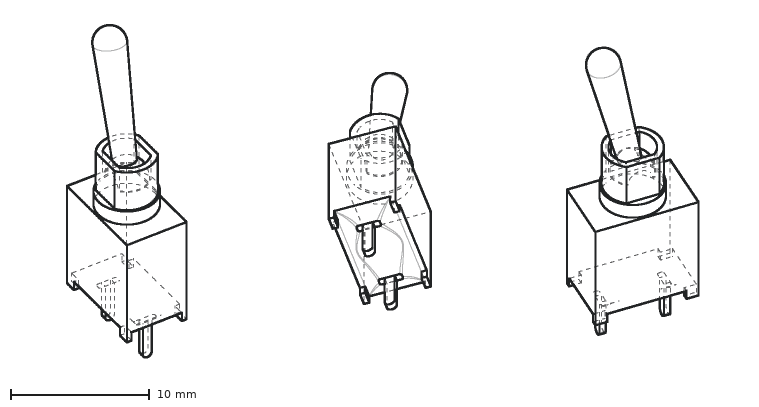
import cadquery as cq
import math


HOUSING_LENGTH = 8.13
HOUSING_WIDTH = 5.08
HOUSING_HEIGHT = 8.92
STANDOFF_HEIGHT = 0.75
FOOT_LENGTH = 0.95
FOOT_WIDTH = 0.41

OVERALL_HEIGHT = 26.73
TERMINAL_PITCH = 5.08
TERMINAL_THICKNESS = 0.5
TERMINAL_WIDTH = 0.76
TERMINAL_LENGTH = 3.27

MOUND_LAND_WIDTH = 1.77
MOUND_CENTRE_THICKNESS = 0.07
MOUND_HIP_RADIUS = 0.2

COLLAR_DIAMETER = 4.8
COLLAR_HEIGHT = 1.2
BUSHING_DIAMETER = 4.5
BUSHING_HEIGHT = 3.46
BUSHING_ACROSS_FLATS = 3.69
BORE_DIAMETER = 3.5
BORE_ACROSS_FLATS = 2.68

LEVER_TILT = 12.0
TIP_OFFSET = 2.3
TIP_RADIUS = 1.27
LEVER_ROOT_RADIUS = 0.84
PIVOT_BALL_RADIUS = 1.65

COLLAR_TOP = HOUSING_HEIGHT + COLLAR_HEIGHT
BUSHING_TOP = COLLAR_TOP + BUSHING_HEIGHT
TIP_CENTRE_Z = OVERALL_HEIGHT - TERMINAL_LENGTH - TIP_RADIUS
LEVER_LENGTH = TIP_OFFSET / math.sin(math.radians(LEVER_TILT))
PIVOT_Z = TIP_CENTRE_Z - LEVER_LENGTH * math.cos(math.radians(LEVER_TILT))
RECESS_LENGTH = HOUSING_LENGTH - 2 * FOOT_LENGTH
RECESS_WIDTH = HOUSING_WIDTH - 2 * FOOT_WIDTH


def block(length, width, bottom, top):
    """Box centred on the Z axis between two heights."""
    return cq.Workplane("XY").workplane(offset=bottom).rect(length, width).extrude(top - bottom)


def flatted_cylinder(diameter, across_flats, bottom, top):
    """Vertical cylinder with two flats facing -Y and +Y."""
    cylinder = cq.Workplane("XY").workplane(offset=bottom).circle(diameter / 2).extrude(top - bottom)
    return cylinder.intersect(block(diameter, across_flats, bottom, top))


def make_housing():
    """Rectangular case standing on four corner feet."""
    case = block(HOUSING_LENGTH, HOUSING_WIDTH, 0, HOUSING_HEIGHT)
    gap_along_x = block(RECESS_LENGTH, HOUSING_WIDTH, 0, STANDOFF_HEIGHT)
    gap_along_y = block(HOUSING_LENGTH, RECESS_WIDTH, 0, STANDOFF_HEIGHT)
    return case.cut(gap_along_x).cut(gap_along_y)


def make_mound():
    """Concave sealing fillets: a long profile and a cross profile intersected."""
    half_land = MOUND_LAND_WIDTH / 2
    half_width = RECESS_WIDTH / 2
    flare = half_width - half_land
    flare_radius = (flare**2 + STANDOFF_HEIGHT**2) / (2 * STANDOFF_HEIGHT)
    half_sweep = math.asin(flare / flare_radius) / 2
    mid_out = flare - flare_radius * math.sin(half_sweep)
    mid_up = STANDOFF_HEIGHT - flare_radius * (1 - math.cos(half_sweep))

    cross_profile = (
        cq.Workplane("YZ")
        .moveTo(-half_land, 0)
        .lineTo(half_land, 0)
        .threePointArc((half_land + mid_out, mid_up), (half_width, STANDOFF_HEIGHT))
        .lineTo(-half_width, STANDOFF_HEIGHT)
        .threePointArc((-half_land - mid_out, mid_up), (-half_land, 0))
        .close()
        .extrude(HOUSING_LENGTH, both=True)
    )

    inner = (TERMINAL_PITCH - TERMINAL_THICKNESS) / 2
    outer = (TERMINAL_PITCH + TERMINAL_THICKNESS) / 2
    arch_top = STANDOFF_HEIGHT - MOUND_CENTRE_THICKNESS
    long_profile = (
        cq.Workplane("XZ")
        .moveTo(-outer, 0)
        .lineTo(-inner, 0)
        .threePointArc((0, arch_top), (inner, 0))
        .lineTo(outer, 0)
        .threePointArc((outer + mid_out, mid_up), (outer + flare, STANDOFF_HEIGHT))
        .lineTo(-outer - flare, STANDOFF_HEIGHT)
        .threePointArc((-outer - mid_out, mid_up), (-outer, 0))
        .close()
        .extrude(HOUSING_WIDTH, both=True)
    )
    mound = cross_profile.intersect(long_profile)
    return mound.edges("not(|X or |Y)").fillet(MOUND_HIP_RADIUS)


def make_terminal(x_centre):
    """Flat terminal blade with a full-round lower end."""
    half_width = TERMINAL_WIDTH / 2
    shoulder = half_width - TERMINAL_LENGTH
    return (
        cq.Workplane("YZ")
        .workplane(offset=x_centre - TERMINAL_THICKNESS / 2)
        .moveTo(-half_width, STANDOFF_HEIGHT)
        .lineTo(-half_width, shoulder)
        .threePointArc((0, -TERMINAL_LENGTH), (half_width, shoulder))
        .lineTo(half_width, STANDOFF_HEIGHT)
        .close()
        .extrude(TERMINAL_THICKNESS)
    )


def make_bushing():
    """Round collar and flatted bushing, bored down to the lever pivot."""
    collar = (
        cq.Workplane("XY")
        .workplane(offset=HOUSING_HEIGHT)
        .circle(COLLAR_DIAMETER / 2)
        .extrude(COLLAR_HEIGHT)
    )
    barrel = flatted_cylinder(BUSHING_DIAMETER, BUSHING_ACROSS_FLATS, COLLAR_TOP, BUSHING_TOP)
    bore = flatted_cylinder(BORE_DIAMETER, BORE_ACROSS_FLATS, PIVOT_Z, BUSHING_TOP)
    return collar.union(barrel).cut(bore)


def make_lever():
    """Tapered, round-tipped lever leaning toward -X."""
    half_profile = (
        cq.Workplane("XZ")
        .lineTo(LEVER_ROOT_RADIUS, 0)
        .lineTo(TIP_RADIUS, LEVER_LENGTH)
        .radiusArc((0, LEVER_LENGTH + TIP_RADIUS), -TIP_RADIUS)
        .close()
    )
    lever = half_profile.revolve(360, (0, 0), (0, 1))
    return lever.rotate((0, 0, 0), (0, 1, 0), -LEVER_TILT).translate((0, 0, PIVOT_Z))


def make_pivot_ball():
    """Upper half of the lever's pivot ball, trimmed to the flats of the bore."""
    ball = cq.Workplane("XY").sphere(PIVOT_BALL_RADIUS).translate((0, 0, PIVOT_Z))
    seat = flatted_cylinder(BORE_DIAMETER, BORE_ACROSS_FLATS, PIVOT_Z, BUSHING_TOP)
    return ball.intersect(seat)


result = make_housing().union(make_mound()).union(make_bushing())
for side in (-1, 1):
    result = result.union(make_terminal(side * TERMINAL_PITCH / 2))
result = result.union(make_pivot_ball()).union(make_lever())